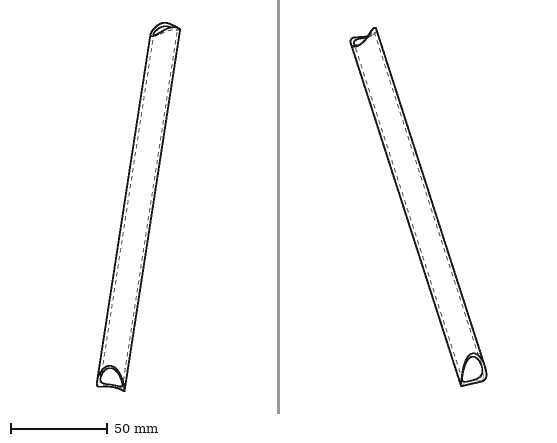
import cadquery as cq

outer_diameter = 15.0
wall = 1.6
inner_diameter = outer_diameter - 2 * wall

run_x = 93.7
run_y = 84.11
drop_z = 160.64
upper_point = cq.Vector(0, 0, 0)
lower_point = cq.Vector(run_x, -run_y, -drop_z)

upper_member_radius = 9.6
upper_member_direction = cq.Vector(0.14, 1, 0)
lower_member_radius = 8.8
lower_member_direction = cq.Vector(0.145, -0.15, 1)
member_length = 6 * outer_diameter


def straight_tube(start, end):
    """Square-ended round tube between two points."""
    centreline = end - start
    section = cq.Workplane(cq.Plane(origin=start, normal=centreline))
    section = section.circle(outer_diameter / 2).circle(inner_diameter / 2)
    return section.extrude(centreline.Length)


def round_member(centre, direction, radius):
    """Solid bar centred on a work point, long enough to cut right across a tube end."""
    section = cq.Workplane(cq.Plane(origin=centre, normal=direction)).circle(radius)
    return section.extrude(member_length / 2, both=True)


tube = straight_tube(upper_point, lower_point)
upper_member = round_member(upper_point, upper_member_direction, upper_member_radius)
lower_member = round_member(lower_point, lower_member_direction, lower_member_radius)

result = tube.cut(upper_member).cut(lower_member).solids()